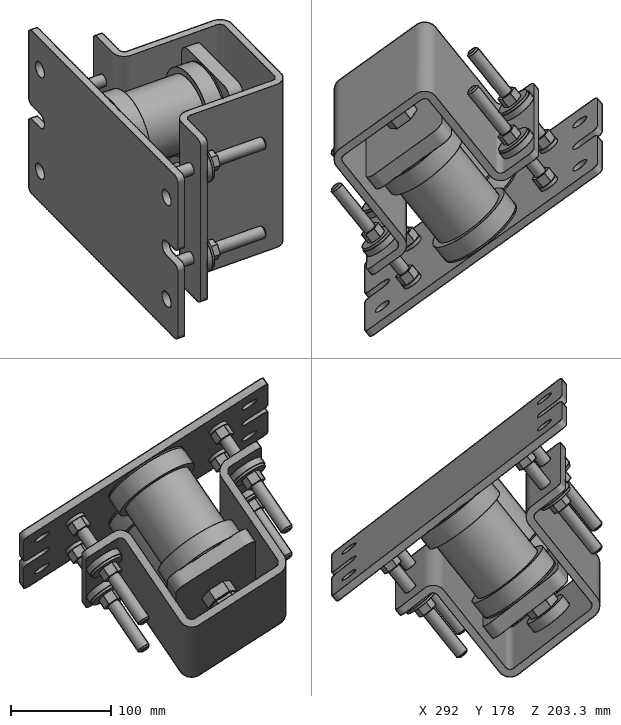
import cadquery as cq


base_width = 292.0
height = 203.3
sheet = 8.0
corner_radius = 6.5
hole_diameter = 17.5
hole_x = 123.9
hole_z = 63.5

total_depth = 178.0
bracket_width = 209.7
channel_width = 123.9
flange_start = 50.8
flange_top = flange_start + sheet
inner_bend = 5.8
outer_bend = inner_bend + sheet
roof_inside = total_depth - sheet

stud_x = 85.5
row_z = 55.5
stud_diameter = 13.0
stud_end = 135.5
stud_chamfer = 1.8
nut_corners = 21.0
nut_height = 10.8
foot_diameter = 21.0
foot_height = 3.8
washer_diameter = 38.0
washer_height = 6.7
small_washer_diameter = 35.5
small_washer_height = 2.5

collar_diameter = 89.7
collar_height = 20.7
lip_diameter = 89.0
lip_height = 1.8
barrel_diameter = 76.2
head_start = 119.2

head_width = 95.2
head_height = 2 * row_z + collar_diameter
head_corner_radius = 12.5
head_end = 135.0
lower_nut_height = 12.0
big_nut_corners = 34.0
nut_gap = 1.2
rod_diameter = 24.0
boss_diameter = 45.3
boss_height = 11.5
boss_start = roof_inside - boss_height
upper_nut_start = head_end + lower_nut_height + nut_gap
upper_nut_height = boss_start - upper_nut_start


def section(x, y, z):
    """Sketch plane across the Y axis, facing +Y, centred on the given point."""
    return cq.Workplane(cq.Plane(origin=(x, y, z), xDir=(1, 0, 0), normal=(0, 1, 0)))


def disc(x, z, start, end, diameter):
    """Round bar along Y between two Y positions."""
    return section(x, start, z).circle(diameter / 2).extrude(end - start)


def hex_nut(x, z, start, thickness, corners):
    """Hexagon along Y with two of its corners on the X direction."""
    return section(x, start, z).polygon(6, corners).extrude(thickness)


def base_plate():
    """Plate with four holes and an open slot in the middle of each short side."""
    plate = section(0, 0, 0).rect(base_width, height).extrude(sheet)
    slot_length = base_width / 2 - hole_x
    for side in (-1, 1):
        mouth_x = side * (hole_x + slot_length / 2)
        slot = section(mouth_x, 0, 0).rect(slot_length, hole_diameter).extrude(sheet)
        plate = plate.cut(slot).cut(disc(side * hole_x, 0, 0, sheet, hole_diameter))
    plate = plate.edges("|Y and (<X or >X)").fillet(corner_radius)
    for x in (-hole_x, hole_x):
        for z in (-hole_z, hole_z):
            plate = plate.cut(disc(x, z, 0, sheet, hole_diameter))
    return plate


def bracket():
    """Bent sheet: two flanges, two walls and a roof, with rounded flange corners."""
    wall_outside = channel_width / 2
    wall_inside = wall_outside - sheet
    flange_end = bracket_width / 2
    right_half = [
        (wall_inside, roof_inside),
        (wall_inside, flange_start),
        (flange_end, flange_start),
        (flange_end, flange_top),
        (wall_outside, flange_top),
        (wall_outside, total_depth),
    ]
    left_half = [(-x, y) for x, y in reversed(right_half)]
    sheet_body = (
        cq.Workplane("XY", origin=(0, 0, -height / 2))
        .polyline(right_half + left_half)
        .close()
        .extrude(height)
    )

    def bend_edges(x, y):
        """Vertical edges of the mirrored pair of bends at (x, y)."""
        return [
            edge
            for edge in sheet_body.edges("|Z").vals()
            if abs(abs(edge.Center().x) - x) < sheet / 10 and abs(edge.Center().y - y) < sheet / 10
        ]

    outer = bend_edges(wall_outside, total_depth) + bend_edges(wall_inside, flange_start)
    sheet_body = sheet_body.newObject(outer).fillet(outer_bend)
    inner = bend_edges(wall_inside, roof_inside) + bend_edges(wall_outside, flange_top)
    sheet_body = sheet_body.newObject(inner).fillet(inner_bend)
    return sheet_body.edges("|Y and (<X or >X)").fillet(corner_radius)


def stud(x, z):
    """Threaded stud with a foot nut on the base and a washered nut on the flange."""
    foot_end = sheet + foot_height
    washer_end = flange_top + washer_height
    small_washer_end = washer_end + small_washer_height
    body = disc(x, z, sheet, stud_end, stud_diameter).faces(">Y").chamfer(stud_chamfer)
    body = body.union(disc(x, z, sheet, foot_end, foot_diameter))
    body = body.union(hex_nut(x, z, foot_end, nut_height, nut_corners))
    body = body.union(disc(x, z, flange_top, washer_end, washer_diameter))
    body = body.union(disc(x, z, washer_end, small_washer_end, small_washer_diameter))
    return body.union(hex_nut(x, z, small_washer_end, nut_height, nut_corners))


def cylinder(z):
    """Barrel with a collar at each end, stepped down to a thin lip at its outer face."""
    lower_lip_end = sheet + lip_height
    upper_lip_start = head_start - lip_height
    body = disc(0, z, sheet, head_start, barrel_diameter)
    body = body.union(disc(0, z, sheet, lower_lip_end, lip_diameter))
    body = body.union(disc(0, z, lower_lip_end, sheet + collar_height, collar_diameter))
    body = body.union(disc(0, z, head_start - collar_height, upper_lip_start, collar_diameter))
    return body.union(disc(0, z, upper_lip_start, head_start, lip_diameter))


def pressure_head():
    """Head plate across both cylinders and a central rod, two nuts and boss up to the roof."""
    body = (
        section(0, head_start, 0)
        .rect(head_width, head_height)
        .extrude(head_end - head_start)
        .edges("|Y")
        .fillet(head_corner_radius)
    )
    body = body.union(disc(0, 0, head_end, boss_start, rod_diameter))
    body = body.union(hex_nut(0, 0, head_end, lower_nut_height, big_nut_corners))
    body = body.union(hex_nut(0, 0, upper_nut_start, upper_nut_height, big_nut_corners))
    return body.union(disc(0, 0, boss_start, roof_inside, boss_diameter))


result = base_plate().union(bracket()).union(pressure_head())
for row in (-row_z, row_z):
    result = result.union(cylinder(row))
    for column in (-stud_x, stud_x):
        result = result.union(stud(column, row))